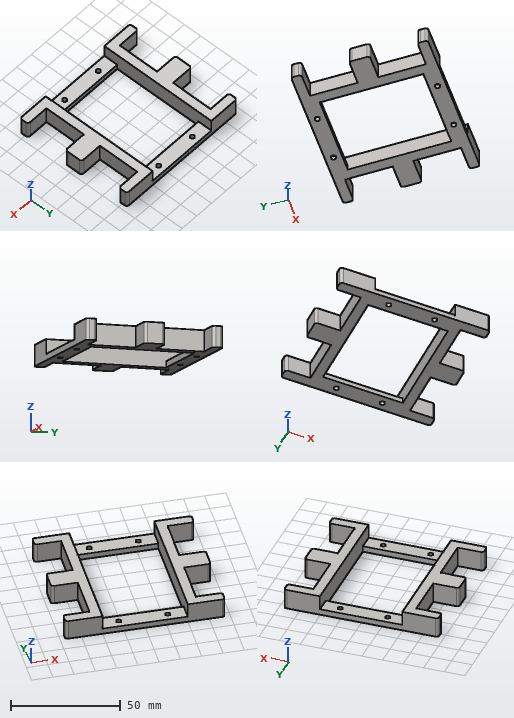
import cadquery as cq

length = 75.0
width = 66.0
height = 10.0

rail_spacing = 40.0
rail_thickness = 5.0
end_arm_width = 5.0
middle_arm_width = 10.0
arm_corner_radius = 1.35

bar_width = 8.0
bar_height = 3.0
hole_spacing = 23.0
hole_diameter = 2.3

rail_outer_spacing = rail_spacing + 2 * rail_thickness
end_arm_y = (width - end_arm_width) / 2
bar_y = (width - bar_width) / 2


def block(size_x, size_y, size_z, y=0):
    """Box resting on the base plane, centred on X and placed along Y."""
    return cq.Workplane("XY").box(size_x, size_y, size_z, centered=(True, True, False)).translate((0, y, 0))


def arm_pair(arm_width, y):
    """Full-length strip with rounded tips; its two ends form opposite arms."""
    return block(length, arm_width, height, y).edges("|Z").fillet(arm_corner_radius)


frame = block(rail_outer_spacing, width, height)
for y in (-end_arm_y, end_arm_y):
    frame = frame.union(arm_pair(end_arm_width, y))
frame = frame.union(arm_pair(middle_arm_width, 0))

frame = frame.cut(block(rail_spacing, width, height))
for y in (-bar_y, bar_y):
    frame = frame.union(block(rail_outer_spacing, bar_width, bar_height, y))

result = (
    frame.faces("<Z").workplane(origin=(0, 0, 0))
    .rarray(hole_spacing, 2 * bar_y, 2, 2)
    .hole(hole_diameter)
)